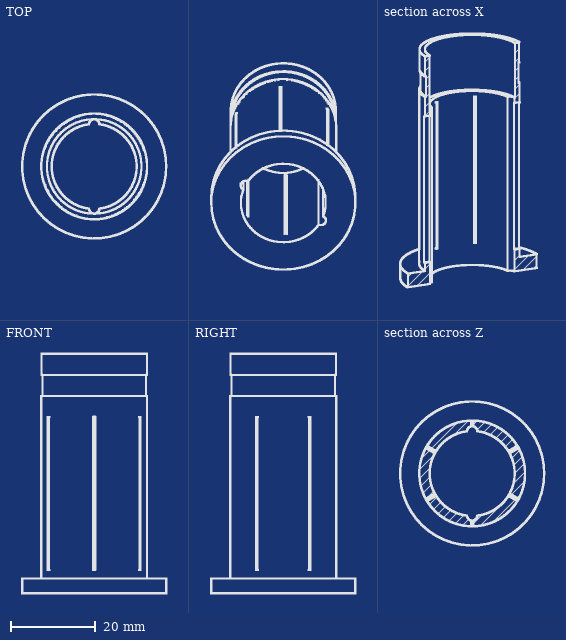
import cadquery as cq

total_height = 56.5
flange_diameter = 34.0
flange_thickness = 3.5

sleeve_diameter = 25.0
groove_diameter = 24.5
collar_diameter = 24.9
band_height = 5.0
collar_bottom = total_height - band_height
groove_bottom = collar_bottom - band_height

bore_diameter = 20.0
counterbore_diameter = 22.3
counterbore_depth = 13.5

keyway_center = 9.9
keyway_radius = 1.2

slot_count = 6
slot_width = 0.5
slot_length = 36.1
slot_bottom = flange_thickness + 2.0
first_slot_angle = 90.0


def cylinder(diameter, bottom, top):
    return cq.Workplane("XY").workplane(offset=bottom).circle(diameter / 2).extrude(top - bottom)


def make_body():
    flange = cylinder(flange_diameter, 0, flange_thickness)
    barrel = cylinder(sleeve_diameter, flange_thickness, groove_bottom)
    groove = cylinder(groove_diameter, groove_bottom, collar_bottom)
    collar = cylinder(collar_diameter, collar_bottom, total_height)
    return flange.union(barrel).union(groove).union(collar)


def make_bore():
    bore = cylinder(bore_diameter, 0, total_height)
    return bore.union(cylinder(counterbore_diameter, total_height - counterbore_depth, total_height))


def make_keyways():
    """Cutters that end at the counterbore, which is already as wide."""
    centers = [(0, keyway_center), (0, -keyway_center)]
    length = total_height - counterbore_depth
    return cq.Workplane("XY").pushPoints(centers).circle(keyway_radius).extrude(length)


def make_slot(angle):
    """Radial cutter reaching from the axis out past the sleeve wall."""
    reach = flange_diameter / 2
    cutter = cq.Workplane("XY").box(reach, slot_width, slot_length, centered=(False, True, False))
    return cutter.translate((0, 0, slot_bottom)).rotate((0, 0, 0), (0, 0, 1), angle)


result = make_body().cut(make_bore()).cut(make_keyways())
for index in range(slot_count):
    result = result.cut(make_slot(first_slot_angle + index * 360 / slot_count))